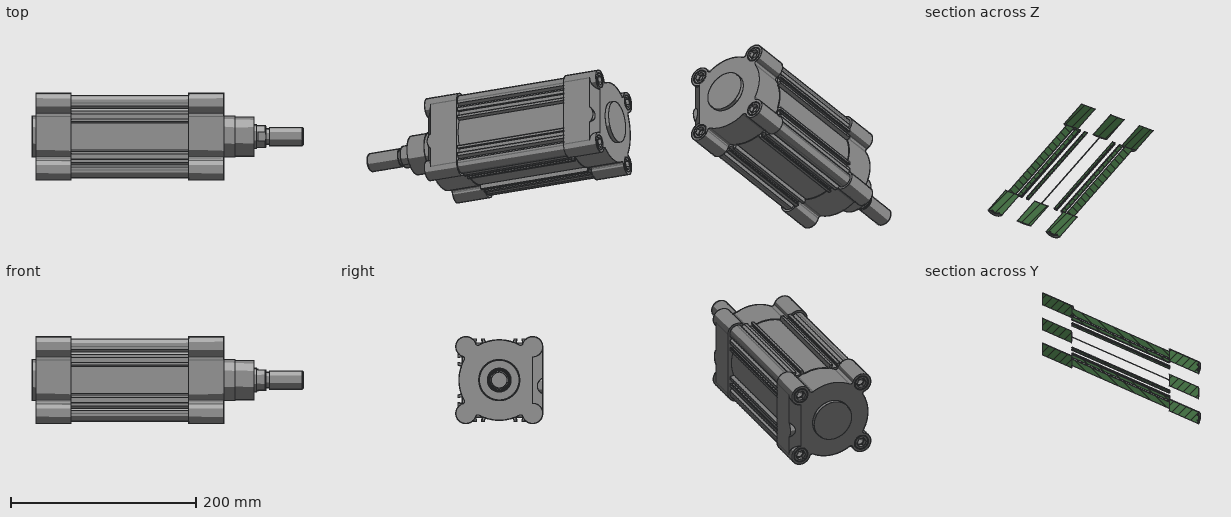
import cadquery as cq
import math


total_length = 293.0
hub_length = 4.0
cap_length = 38.0
barrel_length = 127.0
spigot_length = 12.0
nose_length = 20.5
wiper_length = 2.5
collar_length = 10.3
neck_length = 3.5

rear_cap_start = hub_length
barrel_start = rear_cap_start + cap_length
front_cap_start = barrel_start + barrel_length
front_cap_end = front_cap_start + cap_length
nose_start = front_cap_end + spigot_length
wiper_start = nose_start + nose_length
rod_start = wiper_start + wiper_length
neck_start = rod_start + collar_length
thread_start = neck_start + neck_length
thread_length = total_length - thread_start

cap_height = 94.0
cap_half = cap_height / 2
cap_radius = 43.7
corner_offset = 36.0
boss_radius = cap_half - corner_offset
boss_blend = 2.5
hub_radius = 22.3
nose_radius = 21.5
wiper_radius = 13.0
bevel_depth = 7.0
pad_radius = 12.0
pad_inset = 15.2
pad_z = -6.5

head_radius = 7.5
head_gap = 0.5
head_gap_depth = 1.8
socket_flats = 9.7
socket_depth = 4.7
drill_radius = 4.0
drill_tip_half_angle = 59

barrel_half = 44.5
barrel_radius = 42.8
barrel_corner_radius = barrel_half - corner_offset
slot_offset = 21.7
slot_opening = 5.3
slot_width = 6.5
slot_lip = 1.8
slot_depth = 4.5
recess_top_half = 16.0
recess_floor_half = 14.6
v_groove_offset = 30.5
v_groove_half = 2.5

rod_radius = 12.0
rod_edge_chamfer = 1.0
flats_across = 22.0
flats_length = 8.8
neck_radius = 8.5
thread_radius = 10.0
thread_chamfer = 1.5

corners = [(y, z) for y in (-corner_offset, corner_offset) for z in (-corner_offset, corner_offset)]


def plane_at(x):
    """Plane across the cylinder axis, local axes along Y and Z, normal along +X."""
    return cq.Workplane("YZ", origin=(x, 0, 0))


def disc(x, radius, length):
    return plane_at(x).circle(radius).extrude(length)


def polar(radius, angle):
    return (radius * math.cos(angle), radius * math.sin(angle))


def turned(point, angle):
    y, z = point
    return (
        y * math.cos(angle) - z * math.sin(angle),
        y * math.sin(angle) + z * math.cos(angle),
    )


def rounded_cap():
    """Round body with four screw bosses, joined by concave blends, as one extruded outline."""
    boss_distance = corner_offset * math.sqrt(2)
    blend_distance = cap_radius + boss_blend
    boss_reach = boss_radius + boss_blend
    swing = math.acos(
        (boss_distance**2 + blend_distance**2 - boss_reach**2) / (2 * boss_distance * blend_distance)
    )
    centre_y, centre_z = polar(blend_distance, swing)
    toward_boss = math.atan2(-centre_z, boss_distance - centre_y)
    toward_body = swing - math.pi
    toward_middle = (toward_boss + toward_body) / 2

    def blend_point(direction, side, diagonal):
        y, z = polar(boss_blend, direction)
        return turned((centre_y + y, side * (centre_z + z)), diagonal)

    quarter_turn = math.pi / 2
    first_diagonal = quarter_turn / 2
    outline = plane_at(0).moveTo(*blend_point(toward_body, -1, first_diagonal))
    for quarter in range(4):
        diagonal = first_diagonal + quarter * quarter_turn
        boss_tip = polar(boss_distance + boss_radius, diagonal)
        side_middle = polar(cap_radius, diagonal + quarter_turn / 2)
        next_boss = blend_point(toward_body, -1, diagonal + quarter_turn)
        outline = (
            outline
            .threePointArc(blend_point(toward_middle, -1, diagonal), blend_point(toward_boss, -1, diagonal))
            .threePointArc(boss_tip, blend_point(toward_boss, 1, diagonal))
            .threePointArc(blend_point(toward_middle, 1, diagonal), blend_point(toward_body, 1, diagonal))
            .threePointArc(side_middle, next_boss)
        )
    return outline.close().extrude(cap_length)


def cap_block():
    """Cap with its outer face at X = 0: round body, flat bevelled +Y side, pad and screw bosses."""
    flat_side = (
        plane_at(0)
        .center(cap_half / 2, 0)
        .rect(cap_half, 2 * corner_offset)
        .extrude(cap_length)
    )
    bevel = (
        cq.Workplane("XY", origin=(0, 0, -corner_offset))
        .polyline([(0, corner_offset), (0, cap_half), (bevel_depth, cap_half)])
        .close()
        .extrude(2 * corner_offset)
    )
    flat_side_corners = [(y, z) for y, z in corners if y > 0]
    bosses = plane_at(0).pushPoints(flat_side_corners).circle(boss_radius).extrude(cap_length)
    pad = cq.Workplane("XZ", origin=(pad_inset, cap_half, pad_z)).circle(pad_radius).extrude(boss_radius)
    return rounded_cap().union(flat_side).cut(bevel).union(bosses).union(pad)


def screw_cuts():
    """Clearance rings, hexagon sockets and drill points of the four screws in the face at X = 0."""
    rings = (
        plane_at(0).pushPoints(corners).circle(head_radius + head_gap).circle(head_radius).extrude(head_gap_depth)
    )
    hexagon_diameter = socket_flats / math.cos(math.pi / 6)
    sockets = plane_at(0).pushPoints(corners).polygon(6, hexagon_diameter).extrude(socket_depth)
    tip_depth = drill_radius / math.tan(math.radians(drill_tip_half_angle))
    cuts = rings.union(sockets)
    for y, z in corners:
        tip = cq.Solid.makeCone(
            drill_radius, 0, tip_depth, pnt=cq.Vector(socket_depth, y, z), dir=cq.Vector(1, 0, 0)
        )
        cuts = cuts.union(cq.Workplane(tip))
    return cuts


def make_rear_cap():
    cap = cap_block().cut(screw_cuts()).translate((rear_cap_start, 0, 0))
    return cap.union(disc(0, hub_radius, hub_length))


def make_front_cap():
    cap = cap_block().mirror("YZ").translate((front_cap_end, 0, 0))
    cap = cap.union(disc(front_cap_end, hub_radius, spigot_length))
    cap = cap.union(disc(nose_start, nose_radius, nose_length))
    return cap.union(disc(wiper_start, wiper_radius, wiper_length))


def barrel_side_cuts():
    """Recess, T-slots and V-grooves along the +Z side of the barrel."""
    recess = (
        plane_at(barrel_start)
        .polyline([
            (-recess_floor_half, barrel_half - slot_depth),
            (-recess_top_half, barrel_half),
            (recess_top_half, barrel_half),
            (recess_floor_half, barrel_half - slot_depth),
        ])
        .close()
        .extrude(barrel_length)
    )
    cuts = recess.cut(disc(barrel_start, barrel_radius, barrel_length))
    chamber_height = slot_depth - slot_lip
    for side in (-1, 1):
        slot_y = side * slot_offset
        opening = (
            plane_at(barrel_start)
            .center(slot_y, barrel_half - slot_depth / 2)
            .rect(slot_opening, slot_depth)
            .extrude(barrel_length)
        )
        chamber = (
            plane_at(barrel_start)
            .center(slot_y, barrel_half - slot_lip - chamber_height / 2)
            .rect(slot_width, chamber_height)
            .extrude(barrel_length)
        )
        groove_y = side * v_groove_offset
        v_groove = (
            plane_at(barrel_start)
            .polyline([
                (groove_y - v_groove_half, barrel_half),
                (groove_y, barrel_half - v_groove_half),
                (groove_y + v_groove_half, barrel_half),
            ])
            .close()
            .extrude(barrel_length)
        )
        cuts = cuts.union(opening).union(chamber).union(v_groove)
    return cuts


def make_barrel():
    barrel = plane_at(barrel_start).rect(2 * barrel_half, 2 * barrel_half).extrude(barrel_length)
    barrel = barrel.edges("|X").fillet(barrel_corner_radius)
    side_cuts = barrel_side_cuts()
    for quarter in range(4):
        barrel = barrel.cut(side_cuts.rotate((0, 0, 0), (1, 0, 0), 90 * quarter))
    return barrel


def make_rod():
    """Shoulder with two wrench flats, thread relief and thread."""
    collar = disc(rod_start, rod_radius, collar_length).faces(">X").edges().chamfer(rod_edge_chamfer)
    flats = (
        cq.Workplane("XY")
        .box(flats_length, 2 * rod_radius, 2 * rod_radius)
        .cut(cq.Workplane("XY").box(flats_length, 2 * rod_radius, flats_across))
        .translate((neck_start - flats_length / 2, 0, 0))
    )
    neck = disc(neck_start, neck_radius, neck_length)
    thread = disc(thread_start, thread_radius, thread_length).faces(">X").edges().chamfer(thread_chamfer)
    return collar.cut(flats).union(neck).union(thread)


rear_cap = make_rear_cap()
barrel = make_barrel()
front_cap = make_front_cap()
rod = make_rod()

result = cq.Compound.makeCompound([rear_cap.val(), barrel.val(), front_cap.val(), rod.val()])